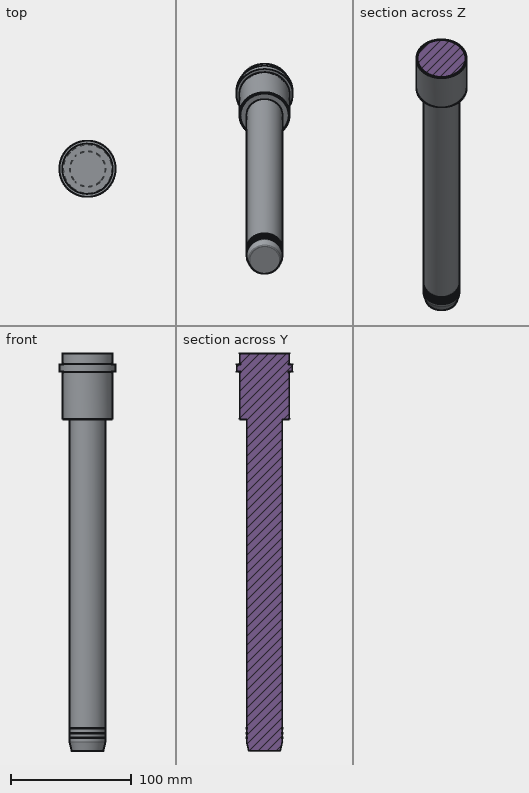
import cadquery as cq

total_length = 330.0
head_length = 55.0
flange_top_depth = 9.2
flange_thickness = 6.0

flange_diameter = 47.0
head_diameter = 42.0
shaft_diameter = 30.0
tip_diameter = 26.5

head_chamfer = 1.0
tip_fillet = 1.0
tip_taper_length = 8.0

relief_gap = 0.5
relief_depth = 1.0

groove_count = 3
groove_width = 1.0
groove_depth = 0.5
groove_pitch = 4.0
lowest_groove_bottom = 10.5


def cylinder(diameter, bottom, height):
    """Solid cylinder on the Z axis."""
    return cq.Workplane("XY").workplane(offset=bottom).circle(diameter / 2).extrude(height)


def ring_cutter(diameter, depth, bottom, width):
    """Ring that cuts a groove of the given depth into a cylinder."""
    outer = cylinder(diameter + 2 * depth, bottom, width)
    return outer.cut(cylinder(diameter - 2 * depth, bottom, width))


def make_shaft():
    """Shaft with a tapered, rounded tip and ring grooves."""
    radius = shaft_diameter / 2
    tip_radius = tip_diameter / 2
    shaft = (
        cq.Workplane("XZ")
        .polyline([
            (0, 0),
            (tip_radius, 0),
            (radius, tip_taper_length),
            (radius, total_length - head_length),
            (0, total_length - head_length),
        ])
        .close()
        .revolve(360, (0, 0, 0), (0, 1, 0))
        .faces("<Z").edges().fillet(tip_fillet)
    )
    for index in range(groove_count):
        bottom = lowest_groove_bottom + index * groove_pitch
        shaft = shaft.cut(ring_cutter(shaft_diameter, groove_depth, bottom, groove_width))
    return shaft


def make_head():
    """Chamfered cylindrical head with a flange and a relief groove at its root."""
    flange_top = total_length - flange_top_depth
    flange_bottom = flange_top - flange_thickness
    relief_width = flange_thickness + 2 * relief_gap
    head = cylinder(head_diameter, total_length - head_length, head_length)
    head = head.faces("<Z").edges().chamfer(head_chamfer)
    head = head.cut(ring_cutter(head_diameter, relief_depth, flange_bottom - relief_gap, relief_width))
    return head.union(cylinder(flange_diameter, flange_bottom, flange_thickness))


result = make_shaft().union(make_head())